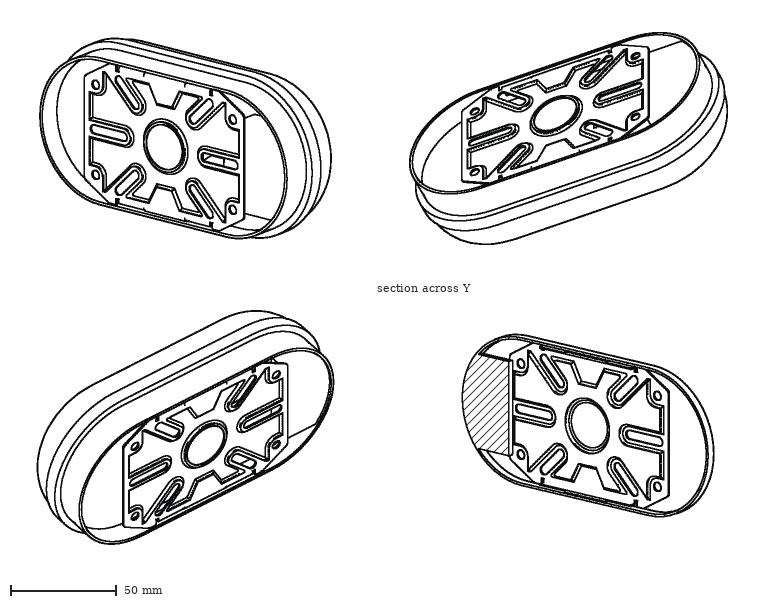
import cadquery as cq
import math


LENGTH = 157.0
HEIGHT = 80.0
DEPTH = 45.5
END_CENTER_X = (LENGTH - HEIGHT) / 2

FLANGE_FRONT_Y = 14.6
FLANGE_BACK_Y = 21.2
RIM_RADIUS = 36.6
CAVITY_RADIUS = 35.2
FLOOR_Y = 11.0
BLOCK_LEFT_X = 46.5
BLOCK_HALF_HEIGHT = 23.4
BLOCK_FILLET = 1.0
RECESS_RIGHT_X = 27.8
RECESS_SIZE = 12.5
RECESS_DEPTH = 3.1
RECESS_SLOPE = 2.4

COVER_RADIUS = 38.3
COVER_SHOULDER_Y = 24.0
CROWN_EDGE_RADIUS = 21.4
CROWN_EDGE_Y = 43.8
COVER_WALL = 1.5

SHEET = 0.8
PLATE_FRONT_Y = 0.5
PLATE_BACK_Y = PLATE_FRONT_Y + SHEET
PLATE_HALF_LENGTH = 48.4
PLATE_HALF_HEIGHT = 34.9
PLATE_SIDE_HALF_HEIGHT = 25.7
PLATE_TOP_HALF_LENGTH = 33.1
PLATE_CORNER_RADIUS = 2.4

PAN_DEPTH = 1.3
PAN_WALL_ANGLE = 45.0
PAN_HALF_LENGTH = 44.3
PAN_HALF_HEIGHT = 28.5
PAN_TIP_RADIUS = 1.3

FINGER_RADIUS = 5.3
SLOT_RADIUS = 2.2
SIDE_SLOT_INNER_X = 24.6
SIDE_SLOT_OUTER_X = 42.5
DIAGONAL_SLOT_INNER = 17.5
DIAGONAL_SLOT_OUTER = 27.5
FINGER_OVERRUN = 18.8
SLOT_RAYS = [(angle, SIDE_SLOT_INNER_X, SIDE_SLOT_OUTER_X) for angle in (0, 180)]
SLOT_RAYS += [
    (angle, DIAGONAL_SLOT_INNER * math.sqrt(2), DIAGONAL_SLOT_OUTER * math.sqrt(2))
    for angle in (45, 135, 225, 315)
]

HOLE_X = 41.6
HOLE_Z = 22.5
HOLE_RADIUS = 2.2
CORNER_PAD_RADIUS = 5.5
CORNER_PAD_SIZE = 22.0

TRAPEZOID_TIP_Z = 19.6
TRAPEZOID_TIP_HALF_WIDTH = 5.3
TRAPEZOID_ROOT_HALF_WIDTH = 10.0
TRAPEZOID_OVERRUN = 3.1

BOSS_RADIUS = 13.5
BOSS_RECESS_RADIUS = 11.0
BOSS_RECESS_DEPTH = 0.5

RELIEF_INNER_X = 27.6
RELIEF_OUTER_X = 29.2
RELIEF_BOTTOM_Z = 31.7
FOLD_ROOT = 0.8
FOLD_START_Z = 32.8
FLANGE_OUTER_Z = 34.2
TONGUE_OUTER_Z = 34.9
TONGUE_HALF_LENGTH = 12.4
FOLD_BACK_Y = 6.3

SIDES = (-1, 1)
QUADRANTS = [(side_x, side_z) for side_x in SIDES for side_z in SIDES]


def plane_at(y):
    """Workplane at depth y with local axes X and Z; extruding goes toward the front."""
    return cq.Workplane("XZ", origin=(0, y, 0))


def stadium(radius, front_y, back_y):
    """Stadium prism about the end centres."""
    return plane_at(back_y).slot2D(2 * (END_CENTER_X + radius), 2 * radius).extrude(back_y - front_y)


def make_housing():
    rim = stadium(RIM_RADIUS, 0, FLANGE_BACK_Y)
    flange = stadium(HEIGHT / 2, FLANGE_FRONT_Y, FLANGE_BACK_Y)
    tub = rim.union(flange).cut(stadium(CAVITY_RADIUS, 0, FLOOR_Y))
    return tub.union(make_block()).cut(make_floor_recess())


def make_block():
    """Raised block on the floor that runs into the right end of the tub and backs the plate."""
    block_length = LENGTH / 2 - BLOCK_LEFT_X
    block = (
        plane_at(FLANGE_BACK_Y)
        .center(BLOCK_LEFT_X + block_length / 2, 0)
        .rect(block_length, 2 * BLOCK_HALF_HEIGHT)
        .extrude(FLANGE_BACK_Y - PLATE_BACK_Y)
        .faces("<Y")
        .edges("|X")
        .fillet(BLOCK_FILLET)
    )
    return block.intersect(stadium(RIM_RADIUS, 0, FLANGE_BACK_Y))


def make_floor_recess():
    """Square recess in the floor with sloping walls."""
    slope_angle = math.degrees(math.atan2(RECESS_SLOPE, RECESS_DEPTH))
    return (
        plane_at(FLOOR_Y)
        .center(RECESS_RIGHT_X - RECESS_SIZE / 2, 0)
        .rect(RECESS_SIZE, RECESS_SIZE)
        .extrude(-RECESS_DEPTH, taper=slope_angle)
    )


def dome_half_profile(inset):
    """Half section in the Y-Z plane at X = 0, with a round shoulder and a slightly curved crown."""
    width = COVER_RADIUS - CROWN_EDGE_RADIUS
    rise = CROWN_EDGE_Y - COVER_SHOULDER_Y
    shoulder_radius = (width**2 + rise**2) / (2 * width)
    shoulder_center = COVER_RADIUS - shoulder_radius
    shrink = 1 - inset / shoulder_radius
    crown_edge = shoulder_center + shrink * (CROWN_EDGE_RADIUS - shoulder_center)
    crown_edge_y = COVER_SHOULDER_Y + shrink * rise
    crown_y = DEPTH - inset
    crown_rise = crown_y - crown_edge_y
    crown_radius = (crown_edge**2 + crown_rise**2) / (2 * crown_rise)
    return (
        cq.Workplane("ZY")
        .moveTo(0, FLANGE_BACK_Y)
        .lineTo(COVER_RADIUS - inset, FLANGE_BACK_Y)
        .lineTo(COVER_RADIUS - inset, COVER_SHOULDER_Y)
        .tangentArcPoint((crown_edge, crown_edge_y), relative=False)
        .radiusArc((0, crown_y), -crown_radius)
        .close()
    )


def dome(inset):
    """Solid dome over the stadium outline, offset inward by the inset."""
    right_end = dome_half_profile(inset).revolve(180, (0, 0, 0), (0, 1, 0)).translate((END_CENTER_X, 0, 0))
    upper_bar = dome_half_profile(inset).extrude(END_CENTER_X, both=True)
    bar = upper_bar.union(upper_bar.mirror("XY"))
    return bar.union(right_end).union(right_end.mirror("YZ"))


def make_cover():
    return dome(0).cut(dome(COVER_WALL))


def make_plate():
    plate = plate_blank()
    plate = plate.union(pan_shape(PLATE_BACK_Y)).cut(pan_shape(PLATE_FRONT_Y))
    for side_z in SIDES:
        for side_x in SIDES:
            plate = plate.cut(relief_slit(side_x, side_z))
        plate = plate.cut(fold_clearance(side_z))
        plate = plate.union(folded_flange(RELIEF_INNER_X, FLANGE_OUTER_Z, side_z))
        plate = plate.union(folded_flange(TONGUE_HALF_LENGTH, TONGUE_OUTER_Z, side_z))
    return plate.cut(boss_recess()).cut(slots()).cut(screw_holes())


def plate_blank():
    """Flat sheet with four bevelled corners."""
    right_half = [
        (PLATE_TOP_HALF_LENGTH, PLATE_HALF_HEIGHT),
        (PLATE_HALF_LENGTH, PLATE_SIDE_HALF_HEIGHT),
        (PLATE_HALF_LENGTH, -PLATE_SIDE_HALF_HEIGHT),
        (PLATE_TOP_HALF_LENGTH, -PLATE_HALF_HEIGHT),
    ]
    left_half = [(-x, -z) for x, z in right_half]
    blank = plane_at(PLATE_BACK_Y).polyline(right_half + left_half).close().extrude(SHEET)
    return blank.edges("|Y and (<X or >X)").fillet(PLATE_CORNER_RADIUS)


def pan_shape(front_y):
    """Volume of the pan behind the given depth, without its raised pads."""
    floor = plane_at(front_y + PAN_DEPTH)
    pan = floor.rect(2 * PAN_HALF_LENGTH, 2 * PAN_HALF_HEIGHT).extrude(PAN_DEPTH, taper=-PAN_WALL_ANGLE)
    pan = pan.cut(raised_pad(floor.circle(BOSS_RADIUS)))
    for ray_angle, inner, outer in SLOT_RAYS:
        finger_outer = outer + FINGER_OVERRUN
        pan = pan.cut(raised_pad(slot_outline(floor, ray_angle, inner, finger_outer, FINGER_RADIUS)))
    for side_x, side_z in QUADRANTS:
        pan = pan.cut(corner_pad(floor, side_x, side_z))
    for side_z in SIDES:
        pan = pan.cut(trapezoid_pad(floor, side_z))
    for side_x, side_z in QUADRANTS:
        pan = round_finger_tip(pan, front_y, side_x, side_z)
    return pan


def round_finger_tip(pan, front_y, side_x, side_z):
    """Rounds the pan's acute corner between a diagonal finger and the long side."""
    finger_edge_offset = FINGER_RADIUS * math.sqrt(2)
    tip_x = PAN_HALF_HEIGHT - finger_edge_offset
    reach = 2 * PAN_DEPTH
    corner = (side_x * (tip_x - reach), front_y - PAN_DEPTH, side_z * (PAN_HALF_HEIGHT - reach))
    opposite = (side_x * (tip_x + 2 * reach), front_y + 2 * PAN_DEPTH, side_z * (PAN_HALF_HEIGHT + reach))
    tip = cq.selectors.BoxSelector(corner, opposite, boundingbox=True)
    return pan.edges(tip).fillet(PAN_TIP_RADIUS)


def raised_pad(outline):
    """Pad that rises from the pan floor with sloping walls."""
    return outline.extrude(PAN_DEPTH, taper=PAN_WALL_ANGLE)


def slot_outline(plane, ray_angle, inner, outer, radius):
    """Stadium whose end centres lie at two distances along a ray from the plate centre."""
    ray = plane.transformed(rotate=(0, 0, ray_angle))
    return ray.center((inner + outer) / 2, 0).slot2D(outer - inner + 2 * radius, 2 * radius)


def corner_pad(floor, side_x, side_z):
    """Pad around a screw hole, rounded toward the middle and run out past the pan corner."""
    center_offset = CORNER_PAD_SIZE / 2 - CORNER_PAD_RADIUS
    return raised_pad(
        floor.center(side_x * (HOLE_X + center_offset), side_z * (HOLE_Z + center_offset)).sketch()
        .rect(CORNER_PAD_SIZE, CORNER_PAD_SIZE)
        .vertices()
        .fillet(CORNER_PAD_RADIUS)
        .finalize()
    )


def trapezoid_pad(floor, side_z):
    """Pad that narrows from the long side of the pan toward the middle."""
    flare = (TRAPEZOID_ROOT_HALF_WIDTH - TRAPEZOID_TIP_HALF_WIDTH) / (PAN_HALF_HEIGHT - TRAPEZOID_TIP_Z)
    root_z = PAN_HALF_HEIGHT + TRAPEZOID_OVERRUN
    root_half_width = TRAPEZOID_ROOT_HALF_WIDTH + flare * TRAPEZOID_OVERRUN
    corners = [
        (-TRAPEZOID_TIP_HALF_WIDTH, side_z * TRAPEZOID_TIP_Z),
        (TRAPEZOID_TIP_HALF_WIDTH, side_z * TRAPEZOID_TIP_Z),
        (root_half_width, side_z * root_z),
        (-root_half_width, side_z * root_z),
    ]
    return raised_pad(floor.polyline(corners).close())


def boss_recess():
    """Shallow round recess in the front of the middle boss."""
    return plane_at(PLATE_FRONT_Y + BOSS_RECESS_DEPTH).circle(BOSS_RECESS_RADIUS).extrude(BOSS_RECESS_DEPTH)


def slots():
    """Through slots along the raised fingers."""
    cutters = cq.Workplane("XZ")
    back = plane_at(PLATE_BACK_Y)
    for ray_angle, inner, outer in SLOT_RAYS:
        cutters = cutters.add(slot_outline(back, ray_angle, inner, outer, SLOT_RADIUS).extrude(SHEET))
    return cutters.combine()


def screw_holes():
    centers = [(side_x * HOLE_X, side_z * HOLE_Z) for side_x, side_z in QUADRANTS]
    return plane_at(PLATE_BACK_Y).pushPoints(centers).circle(HOLE_RADIUS).extrude(SHEET)


def relief_slit(side_x, side_z):
    """Slit from the long edge of the sheet that frees one end of a folded flange."""
    width = RELIEF_OUTER_X - RELIEF_INNER_X
    height = PLATE_HALF_HEIGHT - RELIEF_BOTTOM_Z
    return (
        plane_at(PLATE_BACK_Y)
        .center(side_x * (RELIEF_INNER_X + width / 2), side_z * (RELIEF_BOTTOM_Z + height / 2))
        .rect(width, height)
        .extrude(SHEET)
    )


def fold_clearance(side_z):
    """Strip of the flat sheet that the folded flange replaces."""
    height = PLATE_HALF_HEIGHT - FOLD_START_Z
    return (
        plane_at(PLATE_BACK_Y)
        .center(0, side_z * (FOLD_START_Z + height / 2))
        .rect(2 * RELIEF_INNER_X, height)
        .extrude(SHEET)
    )


def folded_flange(half_length, outer_z, side_z):
    """Strip along the long edge that bends back from the sheet out to the given height."""
    fold_radius = outer_z - FOLD_START_Z
    inner_z = outer_z - SHEET
    root_z = FOLD_START_Z - FOLD_ROOT
    flange = (
        cq.Workplane("YZ")
        .moveTo(PLATE_FRONT_Y, root_z)
        .lineTo(PLATE_FRONT_Y, FOLD_START_Z)
        .radiusArc((PLATE_FRONT_Y + fold_radius, outer_z), fold_radius)
        .lineTo(FOLD_BACK_Y, outer_z)
        .lineTo(FOLD_BACK_Y, inner_z)
        .lineTo(PLATE_FRONT_Y + fold_radius, inner_z)
        .radiusArc((PLATE_BACK_Y, FOLD_START_Z), SHEET - fold_radius)
        .lineTo(PLATE_BACK_Y, root_z)
        .close()
        .extrude(half_length, both=True)
    )
    return flange if side_z > 0 else flange.mirror("XY")


housing = make_housing()
cover = make_cover()
mounting_plate = make_plate()

result = cq.Compound.makeCompound([housing.val(), cover.val(), mounting_plate.val()])